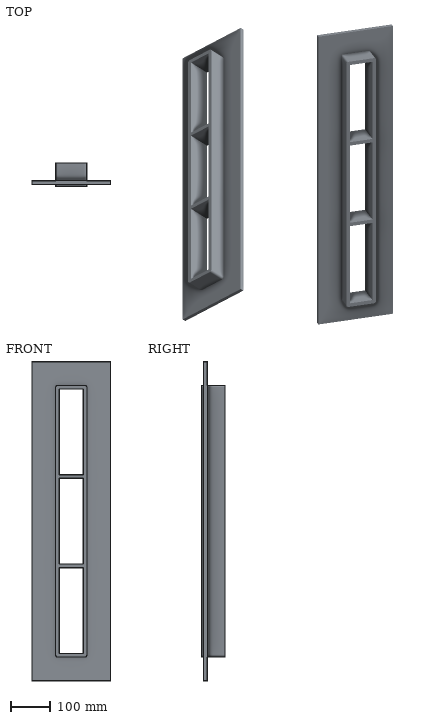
import cadquery as cq

plate_width = 200.0
plate_height = 814.0
plate_thickness = 10.0

flange_margin = 60.0
sleeve_width = plate_width - 2 * flange_margin
sleeve_height = plate_height - 2 * flange_margin
sleeve_depth = 60.0
sleeve_front_lip = 5.05
sleeve_corner_radius = 6.0

wall = 10.0
opening_count = 3
opening_width = sleeve_width - 2 * wall
opening_height = (sleeve_height - (opening_count + 1) * wall) / opening_count
opening_pitch = opening_height + wall


def upright_block(width, depth, height, front_y):
    """Block centred on X and Z whose front face lies at front_y."""
    return cq.Workplane("XY").box(width, depth, height).translate((0, front_y + depth / 2, 0))


plate = upright_block(plate_width, plate_thickness, plate_height, sleeve_front_lip)
sleeve = upright_block(sleeve_width, sleeve_depth, sleeve_height, 0)
sleeve = sleeve.edges("|Y").fillet(sleeve_corner_radius)

openings = (
    cq.Workplane("XZ")
    .rarray(8, opening_pitch, 1, opening_count)
    .rect(opening_width, opening_height)
    .extrude(-sleeve_depth)
)

result = plate.union(sleeve).cut(openings)